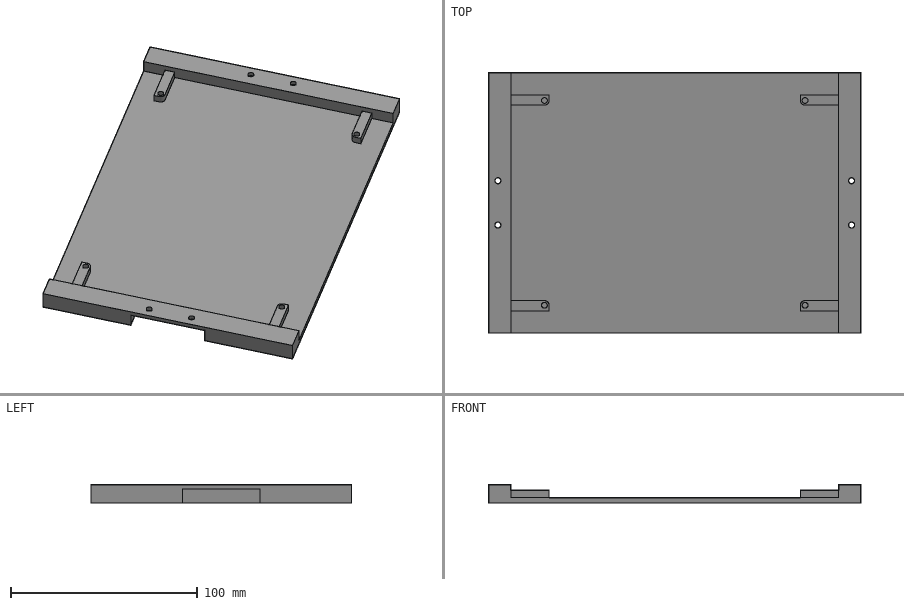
import cadquery as cq

LENGTH = 200.0
WIDTH = 140.0
HEIGHT = 10.0

PLATE_THICKNESS = 3.0
RAIL_WIDTH = 12.0

NOTCH_LENGTH = 41.4
NOTCH_HEIGHT = 7.5
NOTCH_DEPTH = 10.0

HOLE_DIAMETER = 3.1

RAIL_HOLE_EDGE_DISTANCE = 5.0
RAIL_HOLE_SPACING = 23.8

ARM_TOP = 7.0
ARM_HOLE_EDGE_DISTANCE = 30.0
ARM_HOLE_SPACING = 110.0
ARM_TIP_RADIUS = 2.5
ARM_OUTER_OFFSET = 3.0

SIDES = (-1, 1)


def box_between(x_range, y_range, z_range):
    """Box spanning the given (start, end) pairs; X may run in either direction."""
    x_start, x_end = sorted(x_range)
    y_start, y_end = y_range
    z_start, z_end = z_range
    size = (x_end - x_start, y_end - y_start, z_end - z_start)
    return cq.Workplane("XY").box(*size, centered=False).translate((x_start, y_start, z_start))


def upright_cylinder(x, y, diameter, z_start, z_end):
    return (
        cq.Workplane("XY", origin=(x, y, z_start))
        .circle(diameter / 2)
        .extrude(z_end - z_start)
    )


def make_rail(side):
    outer_x = side * LENGTH / 2
    inner_x = outer_x - side * RAIL_WIDTH
    return box_between((inner_x, outer_x), (-WIDTH / 2, WIDTH / 2), (0, HEIGHT))


def make_notch(side):
    outer_x = side * LENGTH / 2
    back_x = outer_x - side * NOTCH_DEPTH
    return box_between((back_x, outer_x), (-NOTCH_LENGTH / 2, NOTCH_LENGTH / 2), (0, NOTCH_HEIGHT))


def make_arm():
    """Arm in the +X, +Y corner, with a blind hole reaching down to the plate."""
    hole_x = LENGTH / 2 - ARM_HOLE_EDGE_DISTANCE
    hole_y = ARM_HOLE_SPACING / 2
    x_range = (hole_x - ARM_TIP_RADIUS, LENGTH / 2 - RAIL_WIDTH)
    y_range = (hole_y - ARM_TIP_RADIUS, hole_y + ARM_OUTER_OFFSET)
    z_range = (PLATE_THICKNESS, ARM_TOP)
    bar = box_between(x_range, y_range, z_range)
    rounded_bar = bar.edges("|Z").edges("<X").edges("<Y").fillet(ARM_TIP_RADIUS)
    return rounded_bar.cut(upright_cylinder(hole_x, hole_y, HOLE_DIAMETER, *z_range))


def make_four_arms():
    arm = make_arm()
    arm_pair = arm.union(arm.mirror("XZ"))
    return arm_pair.union(arm_pair.mirror("YZ"))


result = cq.Workplane("XY").box(LENGTH, WIDTH, PLATE_THICKNESS, centered=(True, True, False))

for side in SIDES:
    result = result.union(make_rail(side)).cut(make_notch(side))
    rail_hole_x = side * (LENGTH / 2 - RAIL_HOLE_EDGE_DISTANCE)
    for end in SIDES:
        rail_hole_y = end * RAIL_HOLE_SPACING / 2
        result = result.cut(upright_cylinder(rail_hole_x, rail_hole_y, HOLE_DIAMETER, 0, HEIGHT))

result = result.union(make_four_arms())